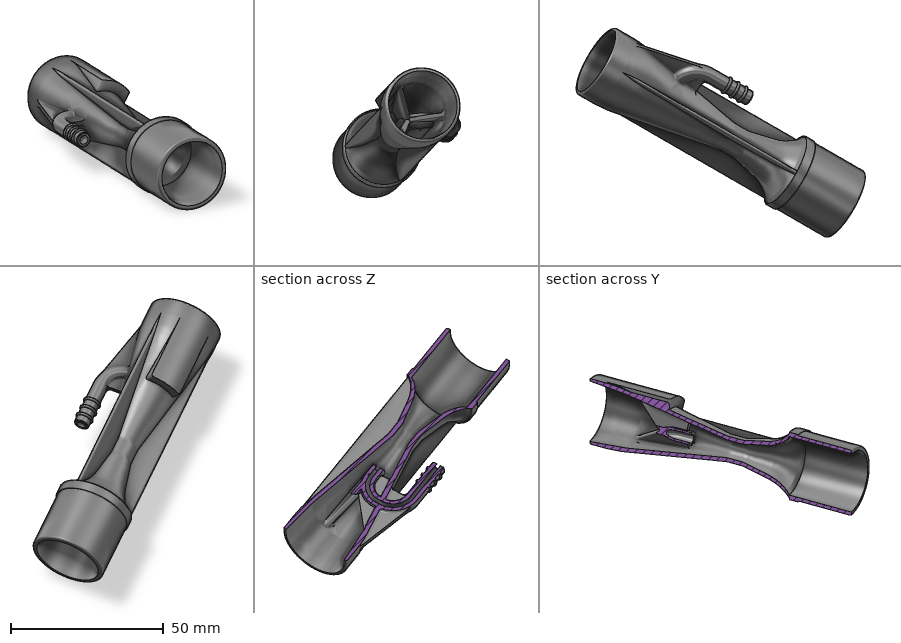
import cadquery as cq
import math

TOTAL_LENGTH = 97.77
BODY_RADIUS = 12.5
RIM_FILLET = 0.65
INLET_END = 6.3
INLET_CONE_START = 13.9
INLET_CONE_RADIUS = 11.75
INLET_CONE_END = 50.7
THROAT_START = 51.9
THROAT_END = 56.6
THROAT_RADIUS = 5.0
OUTLET_CONE_START = 58.3
OUTLET_CONE_START_RADIUS = 5.3
FLARE_START = 66.25
FLARE_START_RADIUS = 7.1
FLARE_END = 73.6
FLARE_END_RADIUS = 11.2
FLARE_LIP_RADIUS = 12.4
COLLAR_START = 74.5
COLLAR_END = 77.7
COLLAR_RADIUS = 12.9
COLLAR_FILLET = 0.2

WALL = 1.7
MOUTH_RADIUS = 11.4
OUTLET_BORE_RADIUS = 11.0

RIB_COUNT = 3
RIB_THICKNESS = 1.4
RIB_TIP_FILLET = 0.69
STRUT_THICKNESS = 1.6
STRUT_WALL_X = 13.0
STRUT_AXIS_X = 26.0
STRUT_END = 36.0
STRUT_EDGE_FILLET = 0.4
STRUT_ROOT_FILLET = 0.8

PAD_WIDTH = 11.6
PAD_END = 29.9
PAD_CORNER_FILLET = 0.9
PAD_ANGLE = 60.0

TUBE_RADIUS = 2.5
TUBE_BORE_RADIUS = 1.5
TUBE_BEND_RADIUS = 7.5
TUBE_OFFSET = 16.0
TUBE_BEND_X = 33.65
TUBE_TIP = 49.6
TUBE_TIP_CHAMFER = 0.3
NOZZLE_TIP = 38.0
BARB_BEAD_RADIUS = 0.5
BARB_FIRST = 40.6
BARB_PITCH = 3.08
BARB_COUNT = 3

WEB_THICKNESS = 1.5
WEB_START = 7.0
WEB_SLOPE_ANGLE = math.radians(12.8)
WEB_END = 33.3
WEB_CORNER_RADIUS = 1.3
WEB_INSET = 0.4
WEB_EDGE_FILLET = 0.3
WEB_ROOT_FILLET = 0.8

EDGE_PROBE = 0.37
TOUCH_TOLERANCE = 1e-3

CONE_SLOPE = (INLET_CONE_RADIUS - THROAT_RADIUS) / (INLET_CONE_END - INLET_CONE_START)


def cone_radius(x):
    """Outer radius of the inlet cone at station x."""
    return INLET_CONE_RADIUS - CONE_SLOPE * (x - INLET_CONE_START)


def turn(shape, angle):
    """Turn a shape about the X axis; the angle runs from +Y towards +Z."""
    return shape.rotate((0, 0, 0), (1, 0, 0), angle)


def revolve_about_x(profile):
    """Solid of revolution whose seam lies underneath, clear of the pad and the tube."""
    return turn(profile.close().revolve(360, (0, 0, 0), (1, 0, 0)), 180)


def add_venturi_curve(profile, inset):
    """Shoulder, inlet cone, throat, outlet cone and flare, drawn 'inset' inside the outer skin."""
    return (
        profile
        .tangentArcPoint((INLET_CONE_START, INLET_CONE_RADIUS - inset), relative=False)
        .lineTo(INLET_CONE_END, cone_radius(INLET_CONE_END) + CONE_SLOPE / 2 - inset)
        .tangentArcPoint((THROAT_START, THROAT_RADIUS - inset), relative=False)
        .lineTo(THROAT_END, THROAT_RADIUS - inset)
        .tangentArcPoint((OUTLET_CONE_START, OUTLET_CONE_START_RADIUS - inset), relative=False)
        .lineTo(FLARE_START, FLARE_START_RADIUS - inset)
        .tangentArcPoint((FLARE_END, FLARE_END_RADIUS - inset), relative=False)
    )


def make_envelope():
    """The turned body without its cavity."""
    profile = cq.Workplane("XZ").lineTo(0, BODY_RADIUS).lineTo(INLET_END, BODY_RADIUS)
    profile = add_venturi_curve(profile, 0)
    profile = (
        profile
        .lineTo(COLLAR_START, FLARE_LIP_RADIUS)
        .lineTo(COLLAR_START, COLLAR_RADIUS)
        .lineTo(COLLAR_END, COLLAR_RADIUS)
        .lineTo(COLLAR_END, BODY_RADIUS)
        .lineTo(TOTAL_LENGTH, BODY_RADIUS)
        .lineTo(TOTAL_LENGTH, 0)
    )
    body = revolve_about_x(profile)
    body = body.faces("<X or >X").edges().fillet(RIM_FILLET)
    collar_corners = cq.selectors.BoxSelector(
        (COLLAR_START - 0.1, -20, -20), (COLLAR_END + 0.1, 20, 20), boundingbox=True
    )
    return body.edges(collar_corners).edges(cq.selectors.RadiusNthSelector(-1)).fillet(COLLAR_FILLET)


def make_cavity():
    profile = cq.Workplane("XZ").lineTo(0, MOUTH_RADIUS).lineTo(INLET_END, BODY_RADIUS - WALL)
    profile = add_venturi_curve(profile, WALL)
    profile = (
        profile
        .lineTo(COLLAR_START, OUTLET_BORE_RADIUS)
        .lineTo(TOTAL_LENGTH, OUTLET_BORE_RADIUS)
        .lineTo(TOTAL_LENGTH, 0)
    )
    return revolve_about_x(profile)


def radial_plate(x_start, x_end, height, width):
    """Plate standing on the X axis and rising along +Y."""
    plate = cq.Workplane("XY").box(x_end - x_start, height, width, centered=(False, False, True))
    return plate.translate((x_start, 0, 0))


def make_ribs():
    rib = radial_plate(INLET_END, COLLAR_START, BODY_RADIUS, RIB_THICKNESS)
    rib = rib.faces(">Y").edges("|X").fillet(RIB_TIP_FILLET)
    ribs = cq.Workplane("XY")
    for i in range(RIB_COUNT):
        ribs = ribs.add(turn(rib, i * 360 / RIB_COUNT))
    return ribs.combine()


def make_struts():
    """Inner plates midway between the ribs, meeting on the axis and ending in the wall."""
    plate = (
        cq.Workplane("XY")
        .moveTo(STRUT_AXIS_X, 0)
        .lineTo(STRUT_WALL_X, cone_radius(STRUT_WALL_X) - WALL / 2)
        .lineTo(STRUT_END, cone_radius(STRUT_END) - WALL / 2)
        .lineTo(STRUT_END, 0)
        .close()
        .extrude(STRUT_THICKNESS / 2, both=True)
    )
    plate = plate.faces("<X").edges("not |Z").fillet(STRUT_EDGE_FILLET)
    struts = cq.Workplane("XY")
    for i in range(RIB_COUNT):
        struts = struts.add(turn(plate, (i + 0.5) * 360 / RIB_COUNT))
    return struts.combine()


def make_pad():
    """Continuation of the inlet sleeve over the cone, cut to a parallel-sided tongue."""
    tongue = radial_plate(INLET_END, PAD_END, BODY_RADIUS + 1, PAD_WIDTH)
    tongue = tongue.faces(">X").edges("|Y").fillet(PAD_CORNER_FILLET)
    sleeve = cq.Workplane("YZ").circle(BODY_RADIUS).extrude(PAD_END)
    return turn(tongue.intersect(sleeve), PAD_ANGLE)


def sweep_tube(radius):
    bend_x = TUBE_BEND_X - TUBE_BEND_RADIUS
    barb_y = -TUBE_OFFSET
    path = (
        cq.Workplane("XY")
        .moveTo(TUBE_TIP, barb_y)
        .lineTo(TUBE_BEND_X, barb_y)
        .tangentArcPoint((bend_x, barb_y + TUBE_BEND_RADIUS), relative=False)
        .lineTo(bend_x, -TUBE_BEND_RADIUS)
        .tangentArcPoint((TUBE_BEND_X, 0), relative=False)
        .lineTo(NOZZLE_TIP, 0)
    )
    return cq.Workplane("YZ", origin=(TUBE_TIP, barb_y, 0)).circle(radius).sweep(path)


def make_tube():
    tube = sweep_tube(TUBE_RADIUS).faces(">X").edges().chamfer(TUBE_TIP_CHAMFER)
    for i in range(BARB_COUNT):
        bead = cq.Solid.makeTorus(
            TUBE_RADIUS,
            BARB_BEAD_RADIUS,
            cq.Vector(BARB_FIRST + i * BARB_PITCH, -TUBE_OFFSET, 0),
            cq.Vector(1, 0, 0),
        )
        tube = tube.union(cq.Workplane(bead))
    return tube


def make_web():
    """Brace from the inlet sleeve to the outside of the bend, closed behind the tube."""
    bend_outside = TUBE_BEND_RADIUS + TUBE_RADIUS - WEB_INSET
    tangent_x = TUBE_BEND_X - bend_outside * math.sin(WEB_SLOPE_ANGLE)
    tangent_y = TUBE_BEND_RADIUS - TUBE_OFFSET - bend_outside * math.cos(WEB_SLOPE_ANGLE)
    start_y = tangent_y + (tangent_x - WEB_START) * math.tan(WEB_SLOPE_ANGLE)
    sink = WALL / 2
    outline = (
        cq.Workplane("XY")
        .moveTo(WEB_START, start_y)
        .lineTo(tangent_x, tangent_y)
        .lineTo(WEB_END, -TUBE_OFFSET)
        .lineTo(WEB_END, sink - cone_radius(WEB_END))
        .lineTo(INLET_CONE_START, sink - INLET_CONE_RADIUS)
        .lineTo(WEB_START, sink - BODY_RADIUS)
        .close()
    )
    web = outline.extrude(WEB_THICKNESS / 2, both=True)
    return web.edges("not(|X or |Y or |Z)").edges("<Y").fillet(WEB_EDGE_FILLET)


def make_web_corner():
    """Concave corner between the end of the web and the barb."""
    corner_x = WEB_END + WEB_CORNER_RADIUS
    tube_side = TUBE_RADIUS - TUBE_OFFSET
    outline = (
        cq.Workplane("XY")
        .moveTo(TUBE_BEND_X - TUBE_RADIUS, -TUBE_OFFSET)
        .lineTo(corner_x, -TUBE_OFFSET)
        .lineTo(corner_x, tube_side)
        .radiusArc((WEB_END, tube_side + WEB_CORNER_RADIUS), WEB_CORNER_RADIUS)
        .lineTo(TUBE_BEND_X - TUBE_RADIUS, tube_side + WEB_CORNER_RADIUS)
        .close()
    )
    return outline.extrude(WEB_THICKNESS / 2, both=True)


def shared_edges(solid, first, second):
    """Edges of a solid that lie on the surfaces of both of the given shapes."""
    shared = []
    for edge in solid.edges().vals():
        probe = cq.Vertex.makeVertex(*edge.positionAt(EDGE_PROBE).toTuple())
        on_first = min(face.distance(probe) for face in first.faces().vals()) < TOUCH_TOLERANCE
        on_second = min(face.distance(probe) for face in second.faces().vals()) < TOUCH_TOLERANCE
        if on_first and on_second:
            shared.append(edge)
    return shared


def add_branch(envelope, tube):
    """Join tube and web to the body and round the roots of both."""
    web = make_web()
    joined = envelope.union(web).union(tube)
    roots = shared_edges(joined, envelope, web) + shared_edges(joined, envelope, tube)
    seams = [edge for edge in shared_edges(joined, web, tube) if edge.geomType() == "CIRCLE"]
    rounded = joined.newObject(roots + seams).fillet(WEB_ROOT_FILLET)
    return rounded.union(make_web_corner())


def add_struts(shell, cavity):
    """Set the struts into the cavity and round their roots."""
    struts = make_struts()
    joined = shell.union(struts)
    return joined.newObject(shared_edges(joined, struts, cavity)).fillet(STRUT_ROOT_FILLET)


def make_part():
    envelope = make_envelope()
    cavity = make_cavity()
    tube = make_tube()
    outside = add_branch(envelope, tube).union(make_ribs()).union(make_pad())
    part = add_struts(outside.cut(cavity), cavity).union(tube)
    return part.cut(sweep_tube(TUBE_BORE_RADIUS)).clean()


result = make_part()